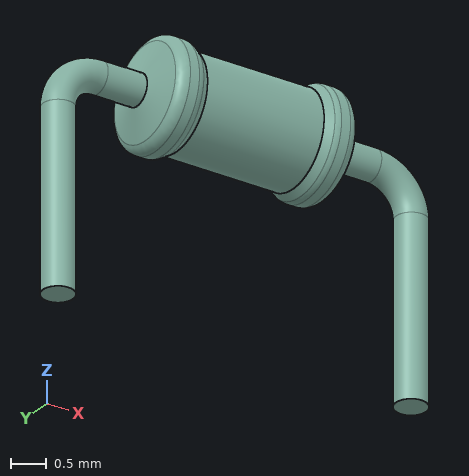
import cadquery as cq
import math

lead_diameter = 0.51
lead_pitch = 6.0
bend_radius = 0.675
lead_drop = 3.64

barrel_diameter = 1.56
collar_diameter = 1.78
body_length = 3.314
barrel_length = 1.98
shoulder_angle = 33.5
end_cone_angle = 14.5
collar_round = 0.17

lead_radius = lead_diameter / 2
barrel_radius = barrel_diameter / 2
collar_radius = collar_diameter / 2
half_body = body_length / 2
half_barrel = barrel_length / 2


def make_body():
    """Barrel with a raised, rounded collar and a shallow cone at each end."""
    shoulder_run = (collar_radius - barrel_radius) / math.tan(math.radians(shoulder_angle))
    cone_run = (collar_radius - lead_radius) * math.tan(math.radians(end_cone_angle))
    right_half = [
        (half_barrel, barrel_radius),
        (half_barrel + shoulder_run, collar_radius),
        (half_body - cone_run, collar_radius),
        (half_body, lead_radius),
        (half_body, 0),
    ]
    left_half = [(-x, radius) for x, radius in reversed(right_half)]
    turned = (
        cq.Workplane("XZ")
        .polyline(left_half + right_half)
        .close()
        .revolve(360, (0, 0, 0), (1, 0, 0))
    )
    collar_corners = [
        edge
        for edge in turned.edges("%CIRCLE").vals()
        if math.isclose(edge.radius(), collar_radius, rel_tol=1e-6)
    ]
    return turned.newObject(collar_corners).fillet(collar_round)


def make_lead_wire():
    """One round wire along the body axis, bent down into a lead at each end."""
    half_pitch = lead_pitch / 2
    bend_start = half_pitch - bend_radius
    bend_middle_x = bend_start + bend_radius * math.sin(math.pi / 4)
    bend_middle_z = bend_radius * (math.cos(math.pi / 4) - 1)
    path = (
        cq.Workplane("XZ")
        .moveTo(-half_pitch, -lead_drop)
        .lineTo(-half_pitch, -bend_radius)
        .threePointArc((-bend_middle_x, bend_middle_z), (-bend_start, 0))
        .lineTo(bend_start, 0)
        .threePointArc((bend_middle_x, bend_middle_z), (half_pitch, -bend_radius))
        .lineTo(half_pitch, -lead_drop)
    )
    section = cq.Workplane("XY", origin=(-half_pitch, 0, -lead_drop)).circle(lead_radius)
    return section.sweep(path)


result = make_body().union(make_lead_wire())